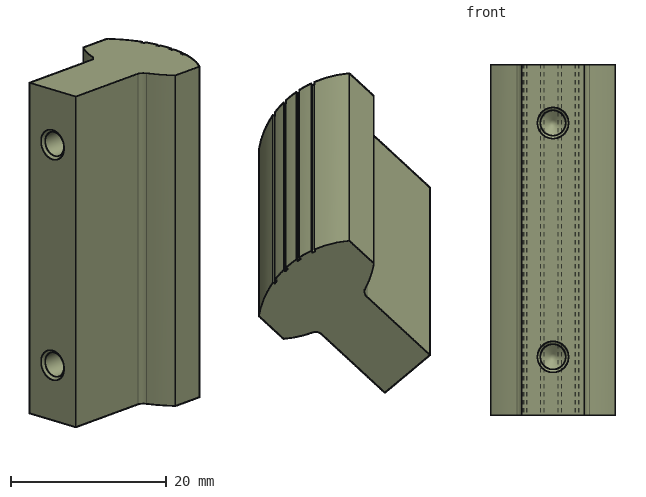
import cadquery as cq
import math

length = 45.0
head_width = 16.0
stem_width = 8.0
total_depth = 22.0
crown_radius = 13.0
head_thickness = 10.1
neck_fillet = 1.0

hole_diameter = 3.24
hole_depth = 10.0
hole_spacing = 30.0
drill_tip_angle = 118.0
mouth_diameter = 4.0

groove_count = 4
groove_width = 0.45
groove_depth = 0.3
groove_pitch_angle = 10.0
groove_center_angle = -1.3

half_head = head_width / 2
half_stem = stem_width / 2
edge_sagitta = crown_radius - math.sqrt(crown_radius**2 - half_head**2)
crown_edge_y = -edge_sagitta
under_edge_y = -head_thickness + edge_sagitta
stem_end_y = -total_depth

under_center_y = crown_radius - head_thickness
fillet_x = half_stem + neck_fillet
center_distance = crown_radius + neck_fillet
fillet_y = under_center_y - math.sqrt(center_distance**2 - fillet_x**2)
tangent_x = fillet_x * crown_radius / center_distance
tangent_y = under_center_y + (fillet_y - under_center_y) * crown_radius / center_distance

under_mid_x = (half_head + tangent_x) / 2
under_mid_y = under_center_y - math.sqrt(crown_radius**2 - under_mid_x**2)
fillet_start_angle = math.atan2(tangent_y - fillet_y, tangent_x - fillet_x)
fillet_mid_angle = (fillet_start_angle + math.pi) / 2
fillet_mid_x = fillet_x + neck_fillet * math.cos(fillet_mid_angle)
fillet_mid_y = fillet_y + neck_fillet * math.sin(fillet_mid_angle)


def make_bar():
    """T-shaped bar with a rounded head, extruded along Z."""
    return (
        cq.Workplane("XY")
        .moveTo(-half_head, crown_edge_y)
        .threePointArc((0, 0), (half_head, crown_edge_y))
        .lineTo(half_head, under_edge_y)
        .threePointArc((under_mid_x, under_mid_y), (tangent_x, tangent_y))
        .threePointArc((fillet_mid_x, fillet_mid_y), (half_stem, fillet_y))
        .lineTo(half_stem, stem_end_y)
        .lineTo(-half_stem, stem_end_y)
        .lineTo(-half_stem, fillet_y)
        .threePointArc((-fillet_mid_x, fillet_mid_y), (-tangent_x, tangent_y))
        .threePointArc((-under_mid_x, under_mid_y), (-half_head, under_edge_y))
        .close()
        .extrude(length)
    )


def make_hole(z):
    """Blind drilled hole with a chamfered mouth, entering the stem end face at height z."""
    hole_radius = hole_diameter / 2
    mouth_radius = mouth_diameter / 2
    chamfer = mouth_radius - hole_radius
    floor_y = stem_end_y + hole_depth
    tip_y = floor_y + hole_radius / math.tan(math.radians(drill_tip_angle / 2))
    return (
        cq.Workplane("XY")
        .moveTo(0, stem_end_y)
        .lineTo(mouth_radius, stem_end_y)
        .lineTo(hole_radius, stem_end_y + chamfer)
        .lineTo(hole_radius, floor_y)
        .lineTo(0, tip_y)
        .close()
        .revolve(360, (0, 0, 0), (0, 1, 0))
        .translate((0, 0, z))
    )


def make_groove(angle):
    """Radial cutter for one full-length groove, at an angle from the apex about the crown axis."""
    cutter_height = 2 * groove_depth
    return (
        cq.Workplane("XY")
        .rect(groove_width, cutter_height)
        .extrude(length)
        .rotate((0, -crown_radius, 0), (0, -crown_radius, 1), -angle)
    )


result = make_bar()
for side in (-1, 1):
    result = result.cut(make_hole(length / 2 + side * hole_spacing / 2))

for index in range(groove_count):
    offset = index - (groove_count - 1) / 2
    result = result.cut(make_groove(groove_center_angle + offset * groove_pitch_angle))